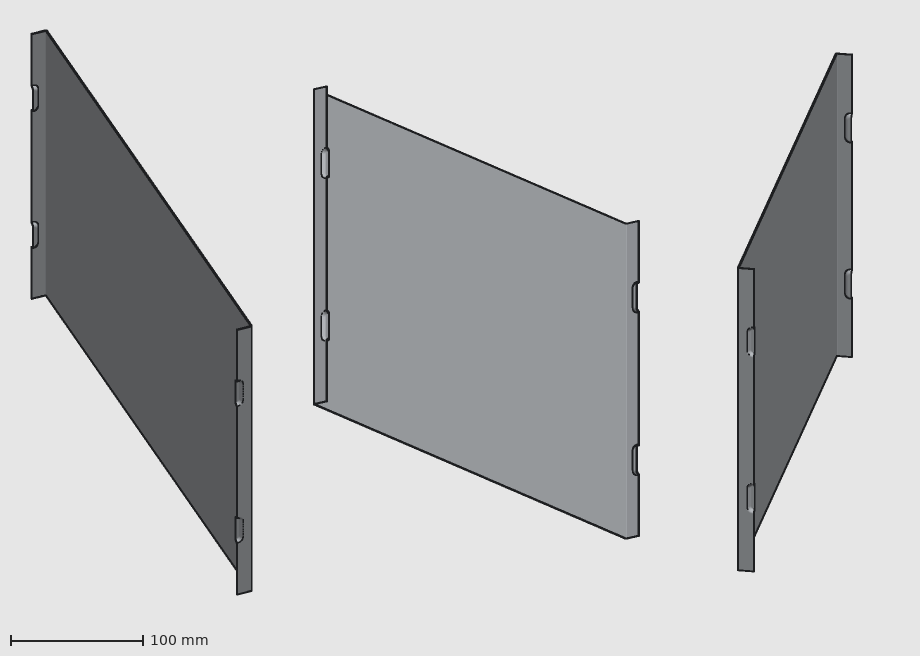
import cadquery as cq
import math

width = 403.0
depth = 12.5
height = 250.0
sheet = 1.0
bend_inner_radius = 0.5
bend_outer_radius = bend_inner_radius + sheet

dimple_length = 23.5
dimple_reach = 5.0
dimple_press = 3.0
dimple_corner_radius = 4.0
dimple_wall_angle = 32.0
dimple_from_end = 60.5
rim_radius = 1.5
floor_inner_radius = 1.2
floor_outer_radius = floor_inner_radius + sheet

front_y = -depth / 2
outer_x = -width / 2


def bent_panel():
    """Panel and both flanges as one U-shaped channel with rounded bends."""
    outer = (
        cq.Workplane("XY")
        .box(width, depth, height)
        .edges("|Z and >Y")
        .fillet(bend_outer_radius)
    )
    inner = (
        cq.Workplane("XY")
        .box(width - 2 * sheet, depth, height)
        .edges("|Z and >Y")
        .fillet(bend_inner_radius)
        .translate((0, -sheet, 0))
    )
    return outer.cut(inner)


def tapered_pad(start_x, z, growth, floor_radius):
    """Pad narrowing toward +X with a rounded top edge; growth widens its outline on every side."""
    return (
        cq.Workplane("YZ", origin=(start_x, front_y, z))
        .sketch()
        .rect(2 * (dimple_reach + growth), dimple_length + 2 * growth)
        .vertices()
        .fillet(dimple_corner_radius + growth)
        .finalize()
        .extrude(dimple_press, taper=dimple_wall_angle)
        .faces(">X")
        .edges()
        .fillet(floor_radius)
    )


def rim_edges(z):
    """Selector for the edges where the left dimple at height z breaks the flange's outer face."""
    margin = sheet / 4
    return cq.selectors.BoxSelector(
        (outer_x - margin, front_y + margin, z - dimple_length / 2 - margin),
        (outer_x + margin, front_y + dimple_reach + margin, z + dimple_length / 2 + margin),
    )


def add_dimples(half):
    """Press two dimples into the left flange, keeping the sheet thickness in the sloping walls."""
    growth = sheet * math.tan(math.radians(45 - dimple_wall_angle / 2))
    offset_z = height / 2 - dimple_from_end
    envelope = cq.Workplane("XY").box(width, depth, height)
    for z in (-offset_z, offset_z):
        boss = tapered_pad(outer_x + sheet, z, growth, floor_outer_radius)
        recess = tapered_pad(outer_x, z, 0, floor_inner_radius)
        half = half.union(boss.intersect(envelope)).cut(recess)
        half = half.edges(rim_edges(z)).fillet(rim_radius)
    return half


left_side = cq.Workplane("XY").box(width / 2, depth, height).translate((-width / 4, 0, 0))
left_half = add_dimples(bent_panel().intersect(left_side))
result = left_half.union(left_half.mirror("YZ"))